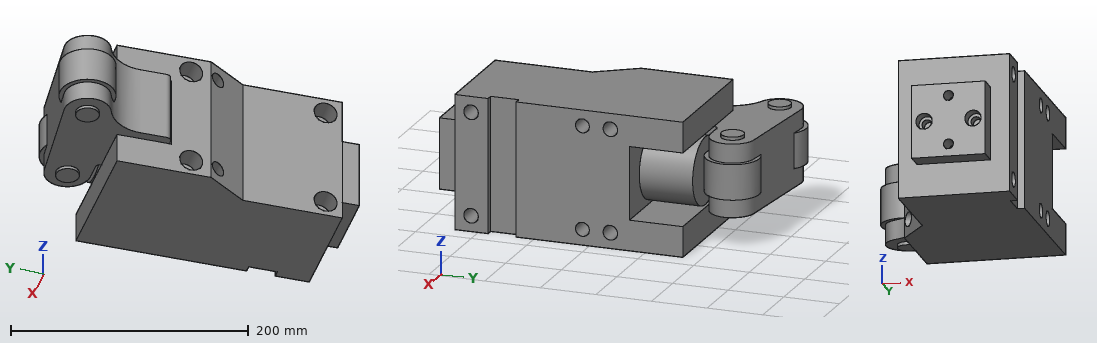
import cadquery as cq
import math


housing_height = 120.0
housing_length = 205.0
lower_width = 96.2
upper_width = 119.8
taper_start_y = 87.5
taper_end_y = 122.5
right_x = lower_width / 2
lower_left_x = -lower_width / 2
upper_left_x = right_x - upper_width

notch_depth = 6.2
notch_start_y = 30.0
notch_end_y = 55.0

mount_hole_dia = 13.0
mount_bore_dia = 20.0
mount_bore_depth = 20.0
mount_hole_ys = (14.7, 139.9)
taper_hole_dia = 12.5
taper_hole_y = 114.8
side_hole_offset_z = 46.0

block_side = 63.5
block_length = 20.0
block_hole_dia = 8.5
block_hole_offset = 21.1
block_bore_dia = 13.8
block_bore_depth = 11.3

roller_radius = 24.0
roller_width = 31.5
pin_dia = 20.0
pin_length = 71.0
roller_spacing_x = 88.0
roller_spacing_y = 9.0
inner_roller_x = -7.0
inner_roller_y = housing_length + roller_radius
outer_roller_x = inner_roller_x - roller_spacing_x
outer_roller_y = inner_roller_y + roller_spacing_y
roller_centres = ((outer_roller_x, outer_roller_y), (inner_roller_x, inner_roller_y))

rod_dia = 60.0
rod_flat_width = 43.7
rod_flat_distance = math.sqrt((rod_dia / 2) ** 2 - (rod_flat_width / 2) ** 2)

lever_thickness = 65.5
lever_end_radius = 20.0
leg_left_x = -79.8
leg_right_x = -26.0
leg_bottom_y = 159.0
leg_corner_radius = 5.0
leg_outer_arc_radius = 35.0
leg_inner_arc_radius = 3.7

rod_axis_x = leg_right_x + rod_flat_distance

slot_floor_y = 157.0


def z_prism(sketch, thickness):
    """Extrude a closed XY outline by equal amounts above and below the mid-plane."""
    return sketch.extrude(thickness / 2, both=True)


def z_cylinder(centre, diameter, length):
    """Cylinder along Z, centred on the mid-plane."""
    return z_prism(cq.Workplane("XY").center(*centre).circle(diameter / 2), length)


def xy_box(x_min, x_max, y_min, y_max, thickness):
    """Box given by its X and Y limits, centred on the mid-plane."""
    return cq.Workplane("XY").box(x_max - x_min, y_max - y_min, thickness).translate(
        ((x_min + x_max) / 2, (y_min + y_max) / 2, 0)
    )


def x_hole(y, z, diameter, depth):
    """Cutting cylinder that enters along +X from the upper left face."""
    return cq.Workplane("YZ", origin=(upper_left_x, y, z)).circle(diameter / 2).extrude(depth)


def y_hole(x, z, diameter, depth):
    """Cutting cylinder that enters along +Y from the front of the connection block."""
    plane = cq.Plane(origin=(x, -block_length, z), xDir=(1, 0, 0), normal=(0, 1, 0))
    return cq.Workplane(plane).circle(diameter / 2).extrude(depth)


def cut_side_holes(body):
    """Counterbored mounting holes, and the plain holes that open on the tapered face."""
    for z in (-side_hole_offset_z, side_hole_offset_z):
        for y in mount_hole_ys:
            face_x = upper_left_x if y > taper_end_y else lower_left_x
            bore_end = face_x - upper_left_x + mount_bore_depth
            body = body.cut(x_hole(y, z, mount_hole_dia, upper_width))
            body = body.cut(x_hole(y, z, mount_bore_dia, bore_end))
        body = body.cut(x_hole(taper_hole_y, z, taper_hole_dia, upper_width))
    return body


def cut_block_holes(body):
    """Two plain holes above each other and two counterbored holes side by side."""
    for side in (-1, 1):
        offset = side * block_hole_offset
        body = body.cut(y_hole(0, offset, block_hole_dia, block_length))
        body = body.cut(y_hole(offset, 0, block_hole_dia, block_length))
        body = body.cut(y_hole(offset, 0, block_bore_dia, block_bore_depth))
    return body


def make_housing():
    outline = cq.Workplane("XY").polyline([
        (lower_left_x, 0),
        (right_x, 0),
        (right_x, housing_length),
        (upper_left_x, housing_length),
        (upper_left_x, taper_end_y),
        (lower_left_x, taper_start_y),
    ]).close()
    body = z_prism(outline, housing_height)
    half_block = block_side / 2
    body = body.union(xy_box(-half_block, half_block, -block_length, 0, block_side))
    body = body.cut(xy_box(right_x - notch_depth, right_x, notch_start_y, notch_end_y, housing_height))
    body = body.cut(xy_box(upper_left_x, right_x, slot_floor_y, housing_length, lever_thickness))
    return cut_block_holes(cut_side_holes(body))


def make_rod():
    """Round rod along Y, from the slot floor up to the back face of the housing."""
    plane = cq.Plane(origin=(rod_axis_x, slot_floor_y, 0), xDir=(1, 0, 0), normal=(0, 1, 0))
    rod_length = housing_length - slot_floor_y
    rod = cq.Workplane(plane).circle(rod_dia / 2).extrude(rod_length)
    rod_left_x = rod_axis_x - rod_dia / 2
    return rod.cut(xy_box(rod_left_x, leg_right_x, slot_floor_y, housing_length, rod_dia))


def lever_plate():
    """Two round ends joined by a straight back, with a leg that runs down into the slot."""
    radius = lever_end_radius

    back_angle = math.atan2(inner_roller_y - outer_roller_y, inner_roller_x - outer_roller_x)
    normal_x = -math.sin(back_angle)
    normal_y = math.cos(back_angle)
    outer_tangent = (outer_roller_x + radius * normal_x, outer_roller_y + radius * normal_y)
    inner_tangent = (inner_roller_x + radius * normal_x, inner_roller_y + radius * normal_y)

    hollow = leg_outer_arc_radius
    hollow_x = leg_left_x - hollow
    hollow_angle = math.acos((outer_roller_x - hollow_x) / (radius + hollow))
    hollow_y = outer_roller_y - (radius + hollow) * math.sin(hollow_angle)
    hollow_start = (
        hollow_x + hollow * math.cos(hollow_angle),
        hollow_y + hollow * math.sin(hollow_angle),
    )
    hollow_middle = (
        hollow_x + hollow * math.cos(hollow_angle / 2),
        hollow_y + hollow * math.sin(hollow_angle / 2),
    )

    underside_y = inner_roller_y - radius
    outline = (
        cq.Workplane("XY")
        .moveTo(*outer_tangent)
        .threePointArc((outer_roller_x - radius, outer_roller_y), hollow_start)
        .threePointArc(hollow_middle, (leg_left_x, hollow_y))
        .lineTo(leg_left_x, leg_bottom_y)
        .lineTo(leg_right_x, leg_bottom_y)
        .lineTo(leg_right_x, underside_y)
        .lineTo(inner_roller_x, underside_y)
        .threePointArc((inner_roller_x + radius, inner_roller_y), inner_tangent)
        .close()
    )
    plate = z_prism(outline, lever_thickness)
    leg_corner = cq.selectors.NearestToPointSelector((leg_left_x, leg_bottom_y, 0))
    inner_corner = cq.selectors.NearestToPointSelector((leg_right_x, underside_y, 0))
    plate = plate.edges(leg_corner).fillet(leg_corner_radius)
    return plate.edges(inner_corner).fillet(leg_inner_arc_radius)


def make_lever():
    """Lever plate with a roller and a pin at each end."""
    lever = lever_plate()
    for centre in roller_centres:
        lever = lever.union(z_cylinder(centre, 2 * roller_radius, roller_width))
        lever = lever.union(z_cylinder(centre, pin_dia, pin_length))
    return lever


housing = make_housing()
push_rod = make_rod()
lever = make_lever()

result = cq.Compound.makeCompound([housing.val(), push_rod.val(), lever.val()])